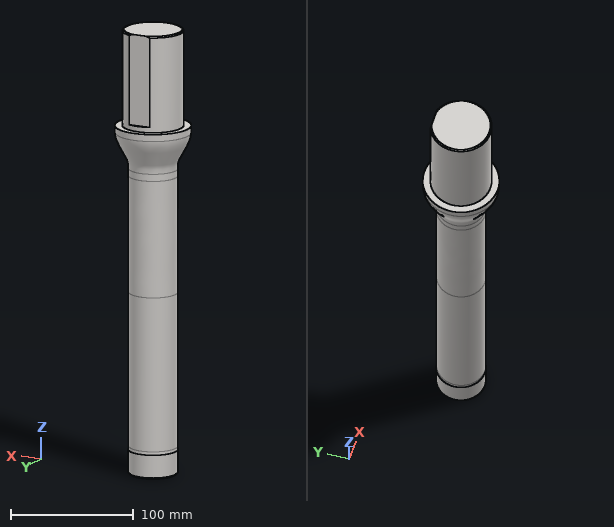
import cadquery as cq

total_length = 374.0
point_height = 0.5
tip_chamfer_top = 2.0
head_top = 21.0
rod_bottom = 24.0
rod_top = 153.5
neck_bottom = 251.5
neck_top = 257.3
bowl_low = 264.0
bowl_middle = 271.5
collar_bottom = 287.5
collar_top = 293.2

head_diameter = 40.8
rod_diameter = 40.5
neck_diameter = head_diameter
bowl_low_diameter = 42.5
bowl_middle_diameter = 50.0
collar_diameter = 62.5
shank_diameter = 50.0

tip_chamfer_width = 2.0
shank_chamfer = 1.0

flat_depth = 2.0
flat_bottom = 297.7


def make_cutting_head():
    """Short cylinder at the tip with a chamfered lower rim and a very shallow conical point."""
    radius = head_diameter / 2
    profile = (
        cq.Workplane("XZ")
        .lineTo(radius - tip_chamfer_width, point_height)
        .lineTo(radius, tip_chamfer_top)
        .lineTo(radius, head_top)
        .lineTo(0, head_top)
        .close()
    )
    return profile.revolve(360, (0, 0, 0), (0, 1, 0))


def make_holder():
    """Slim rod, tapered neck, flared bowl, collar and clamping shank in one turned body."""
    neck_radius = neck_diameter / 2
    rod_radius = rod_diameter / 2
    profile = (
        cq.Workplane("XZ")
        .moveTo(0, head_top)
        .lineTo(head_diameter / 2, head_top)
        .lineTo(rod_radius, rod_bottom)
        .lineTo(rod_radius, rod_top)
        .lineTo(neck_radius, neck_bottom)
        .lineTo(neck_radius, neck_top)
        .spline(
            [
                (bowl_low_diameter / 2, bowl_low),
                (bowl_middle_diameter / 2, bowl_middle),
                (collar_diameter / 2, collar_bottom),
            ],
            includeCurrent=True,
        )
        .lineTo(collar_diameter / 2, collar_top)
        .lineTo(shank_diameter / 2, collar_top)
        .lineTo(shank_diameter / 2, total_length - shank_chamfer)
        .lineTo(shank_diameter / 2 - shank_chamfer, total_length)
        .lineTo(0, total_length)
        .close()
    )
    return profile.revolve(360, (0, 0, 0), (0, 1, 0))


def make_flat_cutter():
    """Block that removes a thin segment from the +Y side of the shank."""
    return cq.Workplane("XY").box(
        shank_diameter,
        shank_diameter,
        total_length - flat_bottom,
        centered=(True, False, False),
    ).translate((0, shank_diameter / 2 - flat_depth, flat_bottom))


cutting_head = make_cutting_head()
holder = make_holder().cut(make_flat_cutter())

result = cq.Compound.makeCompound([cutting_head.val(), holder.val()])